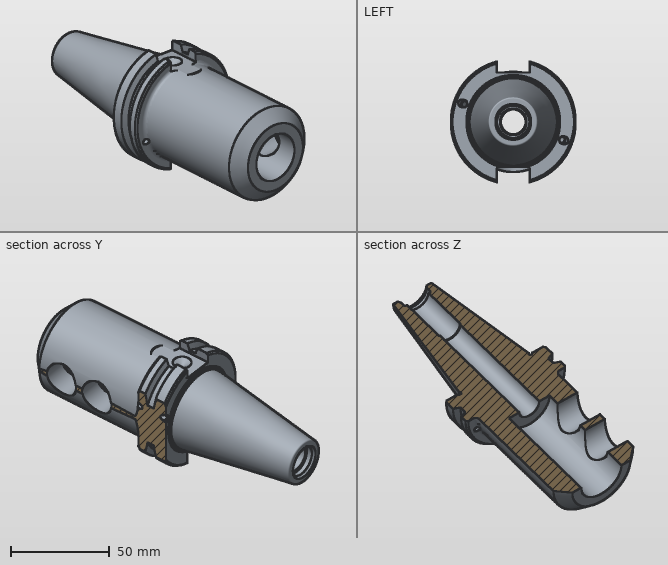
import cadquery as cq
import math

total_length = 158.2

gauge_x = 68.4
gauge_diameter = 44.5
taper_ratio = 7 / 24
shank_end_fillet = 0.8
relief_diameter = 43.8
taper_edge_break = 0.3

flange_diameter = 63.3
flange_front_x = 69.2
flange_back_x = 87.4
flange_chamfer = 1.0
face_recess_diameter = 47.5
face_recess_depth = 0.6
groove_diameter = 56.2
groove_center_x = 79.3
groove_floor_width = 3.8
groove_rim_width = 6.6

body_diameter = 50.8
neck_fillet = 1.9
nose_length = 6.6
nose_land = 0.8
nose_land_drop = 0.08
nose_end_diameter = 36.9

slot_width = 16.6
slot_end_x = 97.3
top_slot_floor = 25.0
bottom_slot_floor = 22.8
dimple_diameter = 9.5
dimple_point_angle = 120

pilot_mouth_diameter = 18.2
pilot_diameter = 16.3
pilot_mouth_depth = 1.6
pilot_depth = 4.7
draw_bolt_hole_diameter = 13.5
draw_bolt_hole_depth = 31.6
through_diameter = 12.5
tool_bore_diameter = 25.5
tool_bore_depth = 60.1

screw_hole_diameter = 18.7
screw_first_x = 114.3
screw_spacing = 23.0
screw_count = 2

coolant_entry_diameter = 4.0
coolant_entry_depth = 2.0
coolant_diameter = 3.2
coolant_front_radius = 27.2
coolant_back_radius = 26.6
coolant_tilt = 30
coolant_angles = (20, 200)


def cylinder_x(diameter, start_x, end_x):
    return cq.Workplane("YZ", origin=(start_x, 0, 0)).circle(diameter / 2).extrude(end_x - start_x)


def taper_radius(x):
    return (gauge_diameter - (gauge_x - x) * taper_ratio) / 2


def outer_form():
    """Whole outside of the holder as a (x, radius) outline revolved about the axis."""
    flange_r = flange_diameter / 2
    flange_edge_r = flange_r - flange_chamfer
    groove_r = groove_diameter / 2
    body_r = body_diameter / 2
    relief_r = relief_diameter / 2
    recess_floor_x = flange_front_x + face_recess_depth
    fillet_sag = neck_fillet * (1 - math.sqrt(0.5))
    shank_sag = shank_end_fillet * (1 - math.sqrt(0.5))
    nose_x = total_length - nose_length
    return (
        cq.Workplane("XY")
        .lineTo(0, taper_radius(shank_end_fillet) - shank_end_fillet)
        .threePointArc(
            (shank_sag, taper_radius(shank_end_fillet) - shank_sag),
            (shank_end_fillet, taper_radius(shank_end_fillet)),
        )
        .lineTo(gauge_x, taper_radius(gauge_x))
        .lineTo(gauge_x + taper_edge_break, relief_r)
        .lineTo(recess_floor_x, relief_r)
        .lineTo(recess_floor_x, face_recess_diameter / 2 - face_recess_depth)
        .lineTo(flange_front_x, face_recess_diameter / 2)
        .lineTo(flange_front_x, flange_edge_r)
        .lineTo(flange_front_x + flange_chamfer, flange_r)
        .lineTo(groove_center_x - groove_rim_width / 2, flange_r)
        .lineTo(groove_center_x - groove_floor_width / 2, groove_r)
        .lineTo(groove_center_x + groove_floor_width / 2, groove_r)
        .lineTo(groove_center_x + groove_rim_width / 2, flange_r)
        .lineTo(flange_back_x - flange_chamfer, flange_r)
        .lineTo(flange_back_x, flange_edge_r)
        .lineTo(flange_back_x, body_r + neck_fillet)
        .threePointArc(
            (flange_back_x + fillet_sag, body_r + fillet_sag), (flange_back_x + neck_fillet, body_r)
        )
        .lineTo(nose_x - nose_land, body_r)
        .lineTo(nose_x, body_r - nose_land_drop)
        .lineTo(total_length, nose_end_diameter / 2)
        .lineTo(total_length, 0)
        .close()
        .revolve(360, (0, 0, 0), (1, 0, 0))
    )


def drive_slot(floor, side):
    """Round-ended slot, open toward the shank; side is +1 for top and -1 for bottom."""
    cutter_r = slot_width / 2
    arc_x = slot_end_x - cutter_r
    return (
        cq.Workplane("XY", origin=(0, 0, side * floor))
        .moveTo(gauge_x, -cutter_r)
        .lineTo(arc_x, -cutter_r)
        .threePointArc((slot_end_x, 0), (arc_x, cutter_r))
        .lineTo(gauge_x, cutter_r)
        .close()
        .extrude(side * flange_diameter)
    )


def dimple():
    radius = dimple_diameter / 2
    depth = radius / math.tan(math.radians(dimple_point_angle / 2))
    cone = cq.Solid.makeCone(
        radius, 0, depth, cq.Vector(groove_center_x, 0, top_slot_floor), cq.Vector(0, 0, -1)
    )
    return cq.Workplane(cone)


def pilot_mouth():
    cone = cq.Solid.makeCone(
        pilot_mouth_diameter / 2,
        pilot_diameter / 2,
        pilot_mouth_depth,
        cq.Vector(0, 0, 0),
        cq.Vector(1, 0, 0),
    )
    return cq.Workplane(cone)


def screw_hole(x):
    """Radial hole from the axis out through the +Y side."""
    return cq.Workplane("XZ", origin=(x, 0, 0)).circle(screw_hole_diameter / 2).extrude(-body_diameter)


def tilted_drill(diameter, mouth_x, mouth_radius, side, start, end):
    """Drill leaning toward the axis, running into the flange from its front (+1) or back (-1).

    The start and end are distances from the mouth along the drill.
    """
    tilt = math.radians(coolant_tilt)
    direction = cq.Vector(side * math.cos(tilt), -math.sin(tilt), 0)
    mouth = cq.Vector(mouth_x, mouth_radius, 0)
    return cq.Workplane(
        cq.Solid.makeCylinder(diameter / 2, end - start, mouth + direction * start, direction)
    )


def coolant_channel(angle):
    leg = (flange_back_x - flange_front_x) / 2 / math.cos(math.radians(coolant_tilt))
    entry_overrun = coolant_entry_diameter / 2
    back_overrun = coolant_diameter / 2
    front_mouth = (flange_front_x, coolant_front_radius, 1)
    back_mouth = (flange_back_x, coolant_back_radius, -1)
    entry = tilted_drill(coolant_entry_diameter, *front_mouth, -entry_overrun, coolant_entry_depth)
    front_leg = tilted_drill(coolant_diameter, *front_mouth, 0, leg)
    back_leg = tilted_drill(coolant_diameter, *back_mouth, -back_overrun, leg)
    return entry.union(front_leg).union(back_leg).rotate((0, 0, 0), (1, 0, 0), angle)


result = outer_form()
result = result.cut(drive_slot(top_slot_floor, 1))
result = result.cut(drive_slot(bottom_slot_floor, -1))
result = result.cut(dimple())
result = result.cut(cylinder_x(pilot_diameter, 0, pilot_depth))
result = result.cut(pilot_mouth())
result = result.cut(cylinder_x(draw_bolt_hole_diameter, 0, draw_bolt_hole_depth))
result = result.cut(cylinder_x(through_diameter, 0, total_length))
result = result.cut(cylinder_x(tool_bore_diameter, total_length - tool_bore_depth, total_length))
for index in range(screw_count):
    result = result.cut(screw_hole(screw_first_x + index * screw_spacing))
for angle in coolant_angles:
    result = result.cut(coolant_channel(angle))